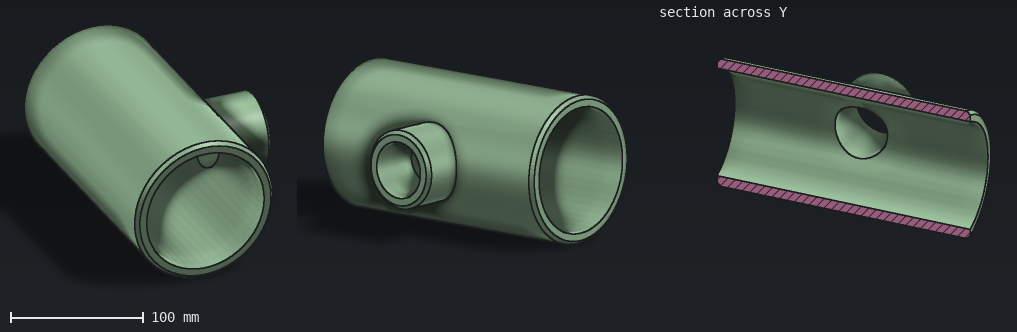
import cadquery as cq

run_length = 209.3
run_diameter = 114.3
run_bore = 97.1

branch_diameter = 60.5
branch_reach = 89.0

wall = (run_diameter - run_bore) / 2
branch_bore = branch_diameter - 2 * wall
end_chamfer = 3.0


def run_cylinder(diameter):
    """Cylinder along X, centred on the origin."""
    return cq.Workplane("YZ").circle(diameter / 2).extrude(run_length / 2, both=True)


def branch_cylinder(diameter):
    """Cylinder along +Y, from the run axis to the branch end face."""
    return cq.Workplane("XZ").circle(diameter / 2).extrude(-branch_reach)


run_body = run_cylinder(run_diameter).faces("<X or >X").chamfer(end_chamfer)
branch_body = branch_cylinder(branch_diameter).faces(">Y").chamfer(end_chamfer)

result = (
    run_body.union(branch_body)
    .cut(run_cylinder(run_bore))
    .cut(branch_cylinder(branch_bore))
)